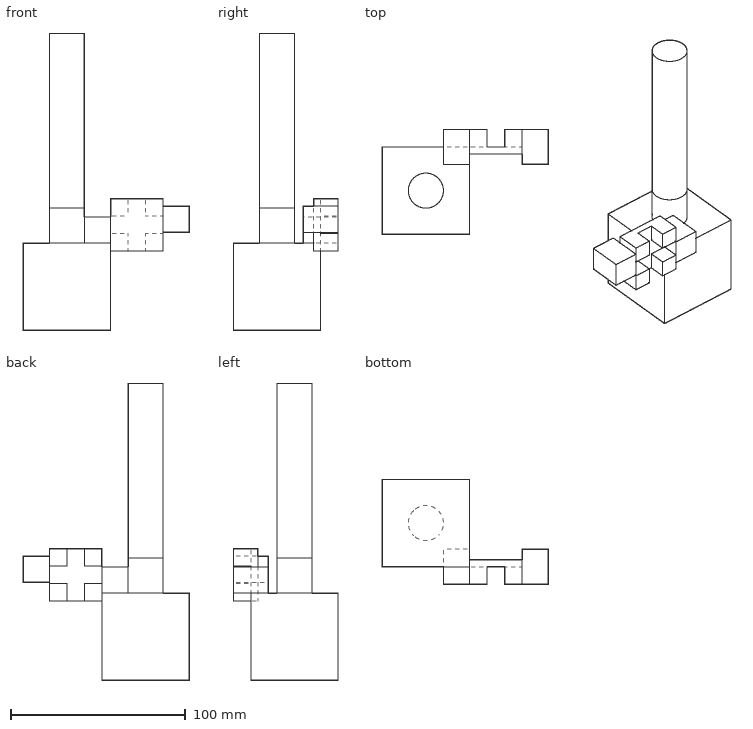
import cadquery as cq

total_height = 170.0
base_side = 50.0
post_diameter = 20.0
collar_height = 20.0
plate_side = 30.1
plate_thickness = 4.0
plate_drop = 4.6
tab_side = 10.0
block_width = 15.0
block_depth = 20.0
outer_block_lift = 6.1

base_edge = base_side / 2
rod_bottom = base_side + collar_height
rod_height = total_height - rod_bottom
plate_left = base_edge
plate_right = plate_left + plate_side
plate_bottom = base_side - plate_drop
plate_top = plate_bottom + plate_side
plate_back = base_edge
assembly_back = plate_back + tab_side
block_front = assembly_back - block_depth


def corner_box(width, depth, height, corner):
    """Box whose minimum X, Y, Z corner is at the given point."""
    return cq.Workplane("XY").box(width, depth, height, centered=False).translate(corner)


def make_base():
    return corner_box(base_side, base_side, base_side, (-base_edge, -base_edge, 0))


def make_cylinder(height, bottom):
    return cq.Workplane("XY").workplane(offset=bottom).circle(post_diameter / 2).extrude(height)


def make_bracket():
    """Upright square plate with a cubic tab behind each corner."""
    plate_front = plate_back - plate_thickness
    bracket = corner_box(
        plate_side, plate_thickness, plate_side, (plate_left, plate_front, plate_bottom)
    )
    for tab_left in (plate_left, plate_right - tab_side):
        for tab_bottom in (plate_bottom, plate_top - tab_side):
            tab = corner_box(tab_side, tab_side, tab_side, (tab_left, plate_back, tab_bottom))
            bracket = bracket.union(tab, clean=False)
    return bracket


def make_block(left, bottom):
    return corner_box(block_width, block_depth, block_width, (left, block_front, bottom))


base = make_base()
collar = make_cylinder(collar_height, base_side)
rod = make_cylinder(rod_height, rod_bottom)
bracket = make_bracket()

block_corners = [
    (plate_left - block_width, base_side),
    (plate_right, base_side + outer_block_lift),
]
blocks = [make_block(left, bottom) for left, bottom in block_corners]

result = cq.Compound.makeCompound(
    [base.val(), collar.val(), rod.val(), *bracket.vals(), *[block.val() for block in blocks]]
)